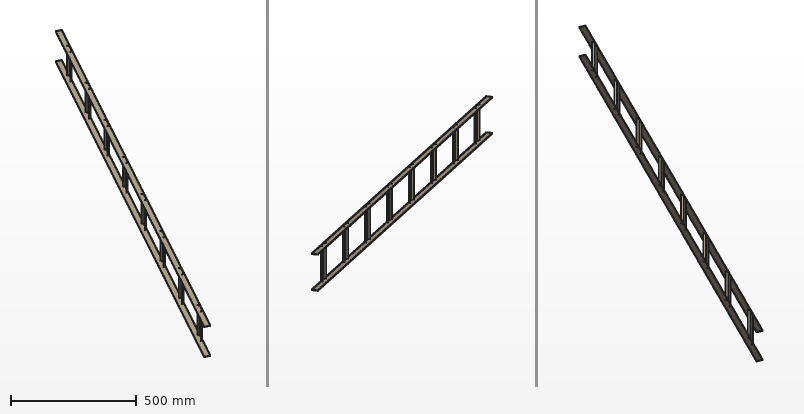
import cadquery as cq
import math

rail_length = 1994.0
rail_width = 25.0
rail_thickness = 3.0
ladder_height = 155.0

rung_count = 8
end_rung_distance = 122.0
web_width = 28.0
rung_depth = 10.0
sheet_thickness = 1.5
flange_angle = math.radians(45)

rung_pitch = (rail_length - 2 * end_rung_distance) / (rung_count - 1)
rung_length = ladder_height - 2 * rail_thickness
web_back_y = rail_width / 2


def make_rail(bottom_z):
    """Flat strip along X, resting on the given height."""
    return cq.Workplane("XY", origin=(0, 0, bottom_z)).box(
        rail_length, rail_width, rail_thickness, centered=(True, True, False)
    )


def make_rung(center_x):
    """Flared channel of even thickness, standing between the two rails."""
    half_web = web_width / 2
    half_inner_web = half_web - sheet_thickness * math.tan(flange_angle / 2)

    lip_x = sheet_thickness * math.sin(flange_angle)
    lip_y = sheet_thickness * math.cos(flange_angle)
    outer_tip_x = half_web + (rung_depth - lip_y) / math.tan(flange_angle)
    mouth_y = web_back_y - rung_depth

    right_half = [
        (half_web, web_back_y),
        (outer_tip_x, mouth_y + lip_y),
        (outer_tip_x - lip_x, mouth_y),
        (half_inner_web, web_back_y - sheet_thickness),
    ]
    left_half = [(-x, y) for x, y in reversed(right_half)]
    return (
        cq.Workplane("XY", origin=(center_x, 0, -rung_length / 2))
        .polyline(right_half + left_half)
        .close()
        .extrude(rung_length)
    )


bottom_rail = make_rail(-ladder_height / 2)
top_rail = make_rail(ladder_height / 2 - rail_thickness)

first_rung_x = -rail_length / 2 + end_rung_distance
rungs = [make_rung(first_rung_x + i * rung_pitch) for i in range(rung_count)]

result = cq.Compound.makeCompound(
    [bottom_rail.val(), top_rail.val(), *[rung.val() for rung in rungs]]
)